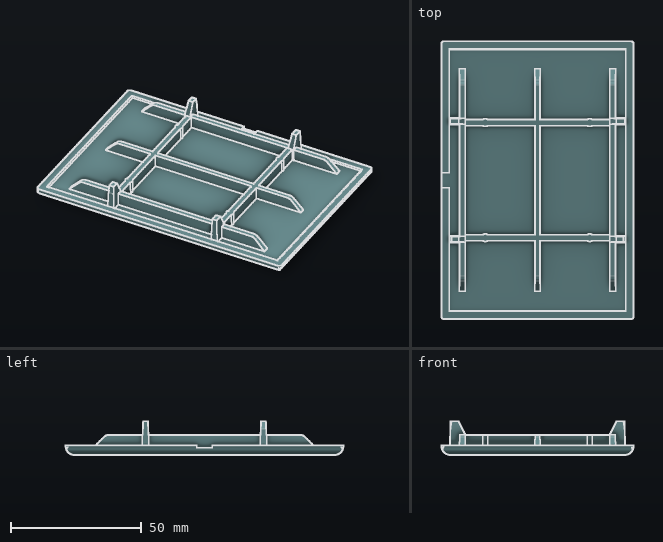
import cadquery as cq
import math

plate_x = 73.5
plate_y = 106.2
rim_height = 3.8
edge_radius = 3.5
corner_radius = 1.1

floor_height = 2.9
rim_width = 3.0
pocket_end_taper = 0.3
notch_width = 5.7

rib_top = 7.8
side_rib_inner_x = 27.6
side_rib_base_width = 2.3
side_rib_top_width = 2.0
center_rib_base_width = 2.1
center_rib_top_width = 1.8
rib_half_length = 42.5
rib_end_radius = 2.7
cross_rib_y = 22.0
cross_rib_base_width = 2.4
cross_rib_top_width = 2.2

boss_x = 20.0
boss_radius = 1.5

tower_top = 13.0
tower_y = 22.5
tower_base_width = 2.8
tower_top_width = 1.9
tower_base_outer_x = 33.6
tower_top_outer_x = 33.2
tower_top_inner_x = 30.2
tower_slope_foot_x = 27.5
relief_depth = 3.0
relief_inset = 0.4

root_overlap = 0.5
root = floor_height - root_overlap


def rounded_edge_bar(plane, width, length):
    """Long bar whose section has a flat bottom with both lower edges rounded."""
    half = width / 2
    mid = edge_radius * (1 - math.sqrt(0.5))
    return (
        cq.Workplane(plane)
        .moveTo(-half, rim_height)
        .lineTo(-half, edge_radius)
        .threePointArc((-half + mid, mid), (-half + edge_radius, 0))
        .lineTo(half - edge_radius, 0)
        .threePointArc((half - mid, mid), (half, edge_radius))
        .lineTo(half, rim_height)
        .close()
        .extrude(length / 2, both=True)
    )


def make_plate():
    plate = cq.Workplane("XY").box(plate_x, plate_y, rim_height, centered=(True, True, False))
    plate = plate.edges("|Z").fillet(corner_radius)
    plate = plate.intersect(rounded_edge_bar("XZ", plate_x, plate_y))
    return plate.intersect(rounded_edge_bar("YZ", plate_y, plate_x))


def make_pocket():
    """Pocket with straight sides and slightly sloping ends."""
    half_top = plate_y / 2 - rim_width
    half_floor = half_top - pocket_end_taper
    return (
        cq.Workplane("YZ")
        .polyline([
            (-half_floor, floor_height),
            (half_floor, floor_height),
            (half_top, rim_height),
            (-half_top, rim_height),
        ])
        .close()
        .extrude(plate_x / 2 - rim_width, both=True)
    )


def make_notch():
    depth = rim_height - floor_height
    return (
        cq.Workplane("XY", origin=(-plate_x / 2, 0, floor_height))
        .box(2 * rim_width, notch_width, depth, centered=(True, True, False))
    )


def drafted_section(plane, base, top, root_z, top_z, half_length):
    """Bar with a tapered section; base and top are (low, high) limits across it."""
    return (
        cq.Workplane(plane)
        .polyline([(base[0], root_z), (base[1], root_z), (top[1], top_z), (top[0], top_z)])
        .close()
        .extrude(half_length, both=True)
    )


def long_rib_outline():
    """Slab holding the side profile of a long rib: 45 degree ends blended into the top."""
    half_root = rib_half_length + floor_height - root
    half_top = half_root - (rib_top - root)
    return (
        cq.Workplane("YZ")
        .polyline([(-half_root, root), (half_root, root), (half_top, rib_top), (-half_top, rib_top)])
        .close()
        .extrude(plate_x / 2, both=True)
        .edges("|X and >Z")
        .fillet(rib_end_radius)
    )


def make_long_ribs():
    base_outer = side_rib_inner_x + side_rib_base_width
    top_outer = side_rib_inner_x + side_rib_top_width
    sections = [
        ((-base_outer, -side_rib_inner_x), (-top_outer, -side_rib_inner_x)),
        (
            (-center_rib_base_width / 2, center_rib_base_width / 2),
            (-center_rib_top_width / 2, center_rib_top_width / 2),
        ),
        ((side_rib_inner_x, base_outer), (side_rib_inner_x, top_outer)),
    ]
    ribs = cq.Workplane("XY")
    for base, top in sections:
        ribs = ribs.add(drafted_section("XZ", base, top, root, rib_top, plate_y / 2))
    return ribs.combine().intersect(long_rib_outline())


def make_cross_rib(side):
    y = side * cross_rib_y
    base = (y - cross_rib_base_width / 2, y + cross_rib_base_width / 2)
    top = (y - cross_rib_top_width / 2, y + cross_rib_top_width / 2)
    rib = drafted_section("YZ", base, top, root, rib_top, side_rib_inner_x + side_rib_top_width / 2)
    bosses = (
        cq.Workplane("XY", origin=(0, y, root))
        .pushPoints([(-boss_x, 0), (boss_x, 0)])
        .circle(boss_radius)
        .extrude(rib_top - root)
    )
    return rib.union(bosses)


def make_tower_pair(side):
    """Two mirrored towers; the pair on the -Y side leans inward at its outer top."""
    y = side * tower_y
    outer_points = [(tower_top_outer_x, tower_top)]
    if side < 0:
        outer_points = [
            (tower_top_outer_x, tower_top - relief_depth),
            (tower_top_outer_x - relief_inset, tower_top),
        ]
    outline = (
        cq.Workplane("XZ")
        .polyline([
            (tower_slope_foot_x, root),
            (tower_base_outer_x, root),
            *outer_points,
            (tower_top_inner_x, tower_top),
            (tower_slope_foot_x, rib_top),
        ])
        .close()
        .extrude(plate_y / 2, both=True)
    )
    base = (y - tower_base_width / 2, y + tower_base_width / 2)
    top = (y - tower_top_width / 2, y + tower_top_width / 2)
    tower = outline.intersect(drafted_section("YZ", base, top, root, tower_top, plate_x / 2))
    return tower.union(tower.mirror("YZ"))


result = make_plate().cut(make_pocket()).cut(make_notch()).union(make_long_ribs())
for side in (-1, 1):
    result = result.union(make_cross_rib(side)).union(make_tower_pair(side))